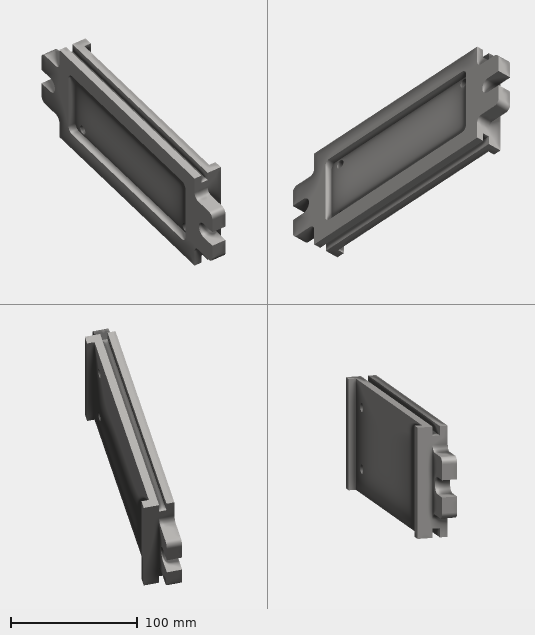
import cadquery as cq

total_length = 240.0
body_length = 190.0
body_height = 90.0
body_depth = 25.0

ear_height = 50.0
ear_depth = 12.5
corner_radius = 5.0
slot_width = 14.0
slot_centre_inset = 12.0

groove_width = 6.0
groove_depth = 7.5

pocket_length = 164.2
pocket_height = 60.0
pocket_depth = 6.7
hole_diameter = 7.5
hole_spacing_x = 144.0
hole_spacing_z = 50.0

rim_width = 7.5
channel_depth = 6.0


def block(length, height, front, depth):
    """Box centred on X and Z that starts at Y = front."""
    return cq.Workplane("XY").box(length, depth, height).translate((0, front + depth / 2, 0))


def eared_body():
    """Body joined to the ears, with rounded outer and inner corners."""
    ears = block(total_length, ear_height, 0, ear_depth).edges("|Y").fillet(corner_radius)
    solid = block(body_length, body_height, 0, body_depth).union(ears)
    for side in (-1, 1):
        for level in (-1, 1):
            solid = solid.union(inner_corner(side, level))
    return solid


def inner_corner(side, level):
    """Concave fillet filling the corner between one ear edge and the body end."""
    x = side * body_length / 2
    z = level * ear_height / 2
    x_out = x + side * corner_radius
    z_out = z + level * corner_radius
    arc_reach = corner_radius * (1 - 0.5 ** 0.5)
    profile = (
        cq.Workplane("XZ")
        .moveTo(x, z)
        .lineTo(x_out, z)
        .threePointArc((x + side * arc_reach, z + level * arc_reach), (x, z_out))
        .close()
    )
    return profile.extrude(-ear_depth)


def ear_slots():
    """Open slots with round inner ends, one in each ear."""
    centre_x = total_length / 2 - slot_centre_inset
    round_ends = (
        cq.Workplane("XZ")
        .pushPoints([(-centre_x, 0), (centre_x, 0)])
        .circle(slot_width / 2)
        .extrude(-ear_depth)
    )
    mouths = block(total_length, slot_width, 0, ear_depth).cut(
        block(2 * centre_x, slot_width, 0, ear_depth)
    )
    return round_ends.union(mouths)


def edge_grooves():
    """Grooves running the full body length in the top and bottom edges."""
    front = ear_depth - groove_width
    return block(body_length, body_height, front, groove_width).cut(
        block(body_length, body_height - 2 * groove_depth, front, groove_width)
    )


def front_pocket():
    """Shallow rectangular pocket with rounded corners."""
    return block(pocket_length, pocket_height, 0, pocket_depth).edges("|Y").fillet(corner_radius)


def pocket_holes():
    """Four holes through the whole depth, near the pocket corners."""
    return (
        cq.Workplane("XZ")
        .rarray(hole_spacing_x, hole_spacing_z, 2, 2)
        .circle(hole_diameter / 2)
        .extrude(-body_depth)
    )


def back_channel():
    """Full-height channel between the two end rims."""
    return block(body_length - 2 * rim_width, body_height, body_depth - channel_depth, channel_depth)


result = (
    eared_body()
    .cut(ear_slots())
    .cut(edge_grooves())
    .cut(front_pocket())
    .cut(pocket_holes())
    .cut(back_channel())
)